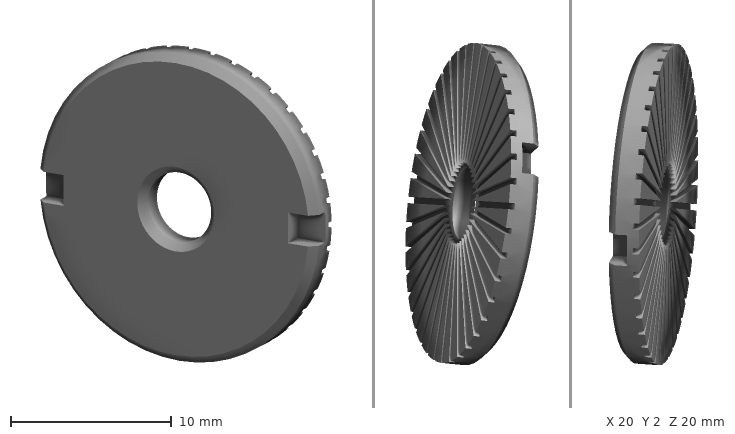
import cadquery as cq

outer_diameter = 20.0
thickness = 2.0
bore_diameter = 4.5
chamfer = 0.5

notch_size = 2.0
notch_depth = 1.25

slot_count = 40
slot_width = 0.4
slot_depth = 0.4

outer_radius = outer_diameter / 2
bore_radius = bore_diameter / 2


def make_disc():
    """Revolve the half section: a bored disc, chamfered at the front rim and front bore edge."""
    section = [
        (bore_radius + chamfer, 0),
        (outer_radius - chamfer, 0),
        (outer_radius, chamfer),
        (outer_radius, thickness),
        (bore_radius, thickness),
        (bore_radius, chamfer),
    ]
    return cq.Workplane("XY").polyline(section).close().revolve(360, (0, 0), (0, 1))


def make_rim_notches():
    """Two blocks reaching inward from the rim at +X and -X, sunk from the front face."""
    notch_center = outer_radius - notch_size / 2
    return (
        cq.Workplane("XZ")
        .pushPoints([(-notch_center, 0), (notch_center, 0)])
        .rect(notch_size, notch_size)
        .extrude(-notch_depth)
    )


def cut_back_slots(body):
    """Cut evenly spaced slots straight across the back face; each makes two opposite slots."""
    slot = cq.Workplane("XY").box(outer_diameter, slot_depth, slot_width)
    slot = slot.translate((0, thickness - slot_depth / 2, 0))
    slot_pitch = 360 / slot_count
    for index in range(slot_count // 2):
        body = body.cut(slot.rotate((0, 0, 0), (0, 1, 0), index * slot_pitch))
    return body


notched_disc = make_disc().cut(make_rim_notches())
result = cut_back_slots(notched_disc)